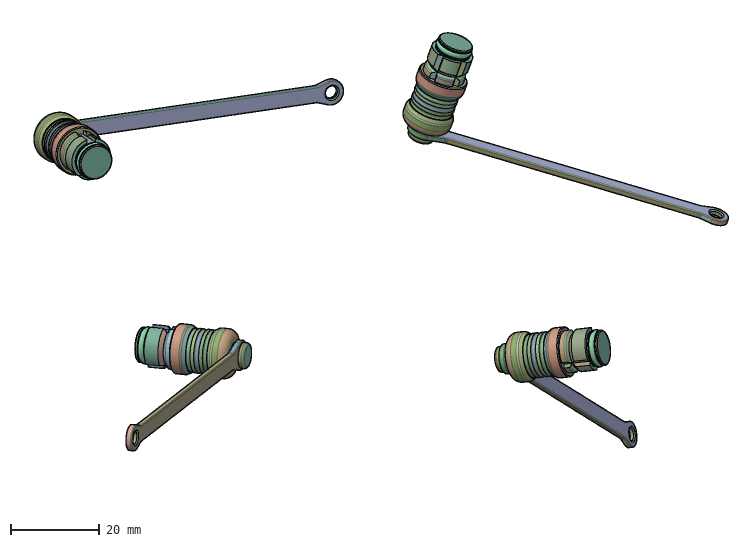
import cadquery as cq
import math

plug_length = 26.0
strap_hole_spacing = 70.0

knob_radius = 3.0
knob_fillet = 0.6
knob_back_fillet = 0.2
neck_radius = 2.9

strap_start = 1.4
strap_thickness = 1.4
strap_width = 3.85
strap_edge_round = 0.2
strap_bend_radius = 1.6
plug_ring_radius = 3.5
plug_taper_end = 5.5
free_ring_radius = 3.0
free_hole_radius = 1.5
free_hole_chamfer = 0.3
free_taper_length = 3.7

grip_start = 3.3
grip_end = 17.0
grip_radius = 5.75
grip_nose_fillet = 2.05
shoulder_blend_radius = 1.1
shoulder_length = 1.1
shoulder_drop = 0.55
rear_shoulder_end = 8.1
front_shoulder_start = 13.2
grip_end_chamfer = 0.2

rib_count = 2
rib_radius = 5.1
rib_width = 1.2
rib_edge_chamfer = 0.15
valley_radius = 4.8

sleeve_radius = 4.9
sleeve_end = 23.4
groove_start = 18.4
groove_edge_setback = 0.2
groove_bottom = 19.05
groove_end = 20.0

nose_diameter = 8.1
nose_radius = nose_diameter / 2
nose_chamfer = 0.2
seal_groove_start = 23.7
seal_groove_end = 25.35
seal_groove_radius = 3.85
seal_gap = 0.15
seal_peak_radius = 4.25

key_slot_width = 2.1
lower_key_half_width = 2.1
lower_key_ledge = 3.5


def make_knob():
    """Round knob and the neck that carries the strap."""
    knob = (
        cq.Workplane("YZ")
        .circle(knob_radius)
        .extrude(strap_start)
        .faces("<X")
        .edges()
        .fillet(knob_fillet)
        .faces(">X")
        .edges()
        .fillet(knob_back_fillet)
    )
    neck = (
        cq.Workplane("YZ", origin=(strap_start, 0, 0))
        .circle(neck_radius)
        .extrude(grip_start + grip_nose_fillet - strap_start)
    )
    return knob.union(neck)


def make_grip():
    """Revolved grip: two conical shoulders with ribs and concave valleys between."""
    rib_edge_radius = rib_radius - rib_edge_chamfer
    cone_edge = grip_radius - shoulder_drop
    cone_angle = math.atan2(shoulder_drop, shoulder_length)
    blend_setback = shoulder_blend_radius * math.tan(cone_angle / 2)
    blend_length = blend_setback * math.cos(cone_angle)
    blend_edge = grip_radius - blend_setback * math.sin(cone_angle)
    rear_corner = rear_shoulder_end - shoulder_length
    front_corner = front_shoulder_start + shoulder_length
    nose_offset = grip_nose_fillet * (1 - math.sqrt(0.5))

    profile = (
        cq.Workplane("XY")
        .moveTo(grip_start, 0)
        .lineTo(grip_start, grip_radius - grip_nose_fillet)
        .threePointArc(
            (grip_start + nose_offset, grip_radius - nose_offset),
            (grip_start + grip_nose_fillet, grip_radius),
        )
        .lineTo(rear_corner - blend_setback, grip_radius)
        .tangentArcPoint((rear_corner + blend_length, blend_edge), relative=False)
        .lineTo(rear_shoulder_end, cone_edge)
        .lineTo(rear_shoulder_end, rib_edge_radius)
    )

    ribbed_length = front_shoulder_start - rear_shoulder_end
    valley_width = (ribbed_length - rib_count * rib_width) / (rib_count + 1)
    for index in range(rib_count + 1):
        valley_start = rear_shoulder_end + index * (valley_width + rib_width)
        valley_end = valley_start + valley_width
        profile = profile.threePointArc(
            (valley_start + valley_width / 2, valley_radius), (valley_end, rib_edge_radius)
        )
        if index < rib_count:
            profile = (
                profile.lineTo(valley_end + rib_edge_chamfer, rib_radius)
                .lineTo(valley_end + rib_width - rib_edge_chamfer, rib_radius)
                .lineTo(valley_end + rib_width, rib_edge_radius)
            )

    profile = (
        profile.lineTo(front_shoulder_start, cone_edge)
        .lineTo(front_corner - blend_length, blend_edge)
        .tangentArcPoint((front_corner + blend_setback, grip_radius), relative=False)
        .lineTo(grip_end - grip_end_chamfer, grip_radius)
        .lineTo(grip_end, grip_radius - grip_end_chamfer)
        .lineTo(grip_end, 0)
        .close()
    )
    return profile.revolve(360, (0, 0, 0), (1, 0, 0))


def make_sleeve():
    """Revolved coupling sleeve with a V groove, then cut by the keyways."""
    groove_slope = math.atan2(sleeve_radius - nose_radius, groove_bottom - groove_start)
    rounded_edge_end = (
        groove_start + groove_edge_setback * math.cos(groove_slope),
        sleeve_radius - groove_edge_setback * math.sin(groove_slope),
    )
    sleeve = (
        cq.Workplane("XY")
        .moveTo(grip_end, 0)
        .lineTo(grip_end, sleeve_radius)
        .lineTo(groove_start - groove_edge_setback, sleeve_radius)
        .tangentArcPoint(rounded_edge_end, relative=False)
        .lineTo(groove_bottom, nose_radius)
        .lineTo(groove_end, sleeve_radius)
        .lineTo(sleeve_end, sleeve_radius)
        .lineTo(sleeve_end, 0)
        .close()
        .revolve(360, (0, 0, 0), (1, 0, 0))
    )
    sleeve_length = sleeve_end - grip_end
    along_sleeve = cq.Workplane("YZ", origin=(grip_end, 0, 0))

    top_slot = (
        along_sleeve.center(0, sleeve_radius)
        .rect(key_slot_width, 2 * sleeve_radius)
        .extrude(sleeve_length)
        .cut(along_sleeve.circle(nose_radius).extrude(sleeve_length))
    )
    sleeve = sleeve.cut(top_slot)

    for side in (-1, 1):
        notch = (
            along_sleeve.moveTo(side * lower_key_half_width, -lower_key_ledge)
            .lineTo(side * sleeve_radius, -lower_key_ledge)
            .lineTo(side * sleeve_radius, -sleeve_radius)
            .lineTo(side * lower_key_half_width, -sleeve_radius)
            .close()
            .extrude(sleeve_length)
        )
        sleeve = sleeve.cut(notch)
    return sleeve


def make_nose():
    """Revolved nose with a convex sealing ring seated in a shallow groove."""
    seal_start = seal_groove_start + seal_gap
    seal_end = seal_groove_end - seal_gap
    seal_middle = (seal_start + seal_end) / 2
    return (
        cq.Workplane("XY")
        .moveTo(grip_end, 0)
        .lineTo(grip_end, nose_radius)
        .lineTo(seal_groove_start, nose_radius)
        .lineTo(seal_groove_start, seal_groove_radius)
        .lineTo(seal_start, seal_groove_radius)
        .threePointArc((seal_middle, seal_peak_radius), (seal_end, seal_groove_radius))
        .lineTo(seal_groove_end, seal_groove_radius)
        .lineTo(seal_groove_end, nose_radius)
        .lineTo(plug_length - nose_chamfer, nose_radius)
        .lineTo(plug_length, nose_radius - nose_chamfer)
        .lineTo(plug_length, 0)
        .close()
        .revolve(360, (0, 0, 0), (1, 0, 0))
    )


def tangent_point(ring_y, ring_radius, corner_y):
    """Upper point where a line from the strap corner touches a ring."""
    rise = strap_width / 2
    run = corner_y - ring_y
    corner_angle = math.atan2(rise, abs(run))
    angle = corner_angle + math.acos(ring_radius / math.hypot(run, rise))
    direction = math.copysign(1, run)
    return (
        ring_y + direction * ring_radius * math.cos(angle),
        ring_radius * math.sin(angle),
    )


def make_strap():
    """Flat strap: a ring at each end, tapering tangentially into a narrow band."""
    half_width = strap_width / 2
    free_taper_end = strap_hole_spacing - free_taper_length
    plug_y, plug_z = tangent_point(0, plug_ring_radius, plug_taper_end)
    free_y, free_z = tangent_point(strap_hole_spacing, free_ring_radius, free_taper_end)

    bend_margin = strap_edge_round
    bend_edges = cq.selectors.BoxSelector(
        (strap_start, plug_taper_end - bend_margin, -strap_width),
        (strap_start + strap_thickness, free_taper_end + bend_margin, strap_width),
    )

    band = (
        cq.Workplane("YZ", origin=(strap_start, 0, 0))
        .moveTo(plug_y, plug_z)
        .lineTo(plug_taper_end, half_width)
        .lineTo(free_taper_end, half_width)
        .lineTo(free_y, free_z)
        .threePointArc(
            (strap_hole_spacing + free_ring_radius, 0), (free_y, -free_z)
        )
        .lineTo(free_taper_end, -half_width)
        .lineTo(plug_taper_end, -half_width)
        .lineTo(plug_y, -plug_z)
        .threePointArc((-plug_ring_radius, 0), (plug_y, plug_z))
        .close()
        .extrude(strap_thickness)
        .edges("|X")
        .edges(bend_edges)
        .fillet(strap_bend_radius)
        .faces("<X or >X")
        .edges()
        .fillet(strap_edge_round)
    )
    hole = (
        cq.Workplane("YZ", origin=(strap_start, strap_hole_spacing, 0))
        .circle(free_hole_radius)
        .extrude(strap_thickness)
    )
    hole_edges = cq.selectors.RadiusNthSelector(0)
    return band.cut(hole).faces("<X or >X").edges("%CIRCLE").edges(hole_edges).chamfer(free_hole_chamfer)


result = (
    make_grip()
    .union(make_knob())
    .union(make_nose())
    .union(make_sleeve())
    .union(make_strap())
)